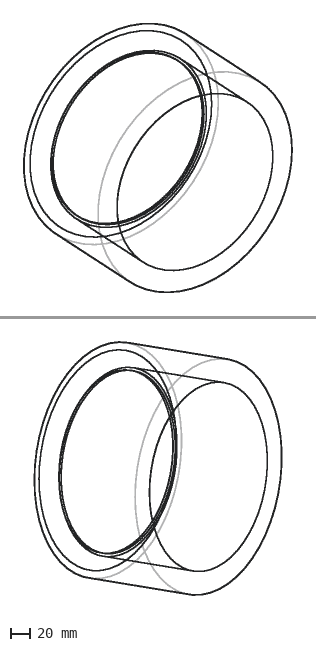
import cadquery as cq

length = 134.0
outer_diameter = 250.0
rim_fillet_radius = 0.5

mouth_diameter = 233.33
throat_diameter = 193.75
mouth_depth = 10.87

bore_diameter = 200.0
bore_start_depth = 14.0

start_x = -length / 2
throat_start_x = start_x + mouth_depth
bore_start_x = start_x + bore_start_depth
end_x = length / 2


def turned_ring():
    """Revolve the half section of the ring, with radius measured along Y."""
    half_section = (
        cq.Workplane("XY")
        .moveTo(start_x, outer_diameter / 2)
        .lineTo(start_x, mouth_diameter / 2)
        .lineTo(throat_start_x, throat_diameter / 2)
        .lineTo(bore_start_x, throat_diameter / 2)
        .lineTo(bore_start_x, bore_diameter / 2)
        .lineTo(end_x, bore_diameter / 2)
        .lineTo(end_x, outer_diameter / 2)
        .close()
    )
    return half_section.revolve(360, (0, 0, 0), (1, 0, 0))


def round_outer_rims(ring):
    """Break the outer edge at both ends with a small fillet."""
    outer_rims = ring.faces("<X or >X").edges(cq.selectors.RadiusNthSelector(-1))
    return outer_rims.fillet(rim_fillet_radius)


result = round_outer_rims(turned_ring())